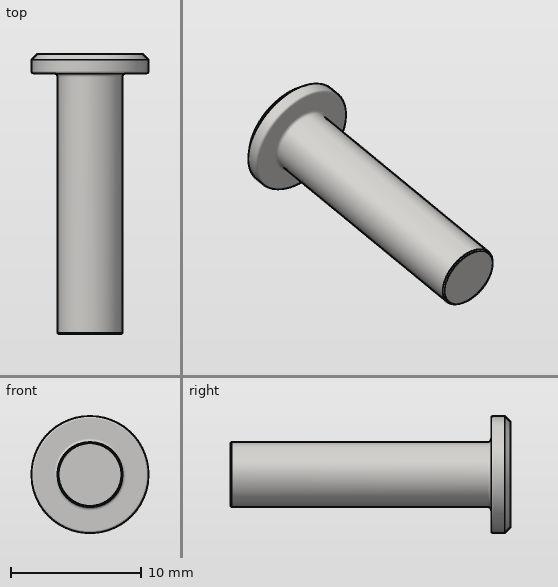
import cadquery as cq

total_length = 21.5
head_diameter = 9.0
head_thickness = 1.5
shank_diameter = 5.0

head_chamfer = 0.45
head_rim_round = 0.2
neck_fillet = 0.25
tip_chamfer = 0.1

head_radius = head_diameter / 2
shank_radius = shank_diameter / 2
shank_length = total_length - head_thickness


def disc(radius, start_y, length):
    """Cylinder along +Y starting at start_y."""
    axis = cq.Vector(0, 1, 0)
    return cq.Workplane(obj=cq.Solid.makeCylinder(radius, length, cq.Vector(0, start_y, 0), axis))


head = disc(head_radius, shank_length, head_thickness)
head = head.faces(">Y").edges().chamfer(head_chamfer)
head = head.faces("<Y").edges().fillet(head_rim_round)

shank = disc(shank_radius, 0, shank_length)
shank = shank.faces("<Y").edges().chamfer(tip_chamfer)

neck_reach = shank_radius + neck_fillet
neck_zone = cq.selectors.BoxSelector(
    (-neck_reach, shank_length - neck_fillet, -neck_reach),
    (neck_reach, shank_length + neck_fillet, neck_reach),
    boundingbox=True,
)
result = head.union(shank).edges(neck_zone).fillet(neck_fillet)